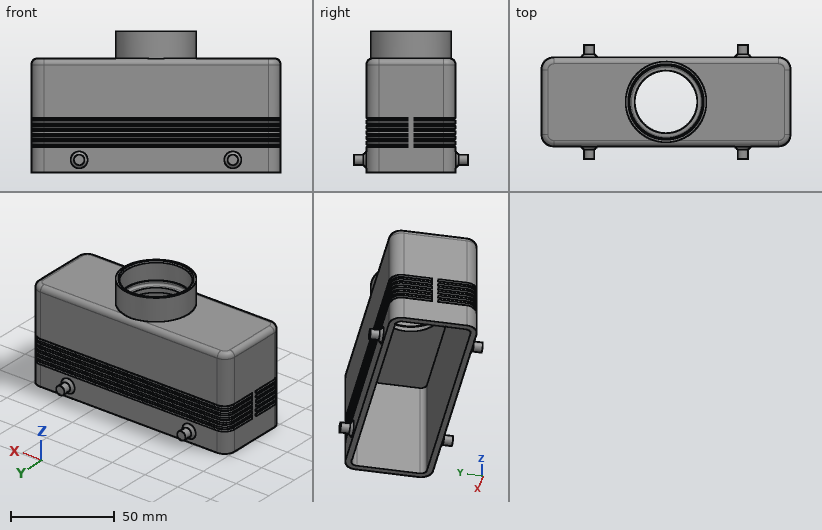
import cadquery as cq
import math

length = 120.0
width = 43.0
body_height = 55.0
corner_radius = 6.0
top_fillet = 3.0
wall = 3.0
roof_thickness = 2.6

collar_radius = 19.5
collar_height = 13.1
bore_radius = 17.5
bore_chamfer = 0.7
relief_radius = 18.0
relief_height = 2.5
relief_fillet = 1.2
opening_radius = 15.0

groove_count = 6
groove_pitch = 2.5
groove_height = 1.5
groove_depth = 0.7
lowest_groove_z = 13.0
groove_gap = 3.0

pin_span = 55.0
pin_radius = 2.5
pin_root = 1.5
pin_x = 37.0
pin_z = 6.1

top_z = body_height + collar_height


def rounded_block(inset, height):
    """Box on the ground plane with the body's footprint shrunk by inset."""
    block = cq.Workplane("XY").box(
        length - 2 * inset,
        width - 2 * inset,
        height,
        centered=(True, True, False),
    )
    return block.edges("|Z").fillet(corner_radius - inset)


def hood_body():
    """Outer block with a rounded roof edge, hollowed from below."""
    outer = rounded_block(0, body_height).faces(">Z").edges().fillet(top_fillet)
    return outer.cut(rounded_block(wall, body_height - roof_thickness))


def collar():
    """Solid collar, its foot buried in the roof so that it meets the rounded edges."""
    foot = cq.Workplane("XY").workplane(offset=body_height - roof_thickness)
    return foot.circle(collar_radius).extrude(roof_thickness + collar_height)


def entry_bore():
    """Revolved cutter: chamfered mouth, bore, filleted relief and roof opening."""
    arc_center_r = relief_radius - relief_fillet
    arc_center_z = body_height + relief_fillet
    arc_offset = relief_fillet * math.sqrt(0.5)
    return (
        cq.Workplane("XZ")
        .moveTo(0, body_height - roof_thickness)
        .lineTo(opening_radius, body_height - roof_thickness)
        .lineTo(opening_radius, body_height)
        .lineTo(arc_center_r, body_height)
        .threePointArc(
            (arc_center_r + arc_offset, arc_center_z - arc_offset),
            (relief_radius, arc_center_z),
        )
        .lineTo(relief_radius, body_height + relief_height)
        .lineTo(bore_radius, body_height + relief_height)
        .lineTo(bore_radius, top_z - bore_chamfer)
        .lineTo(bore_radius + bore_chamfer, top_z)
        .lineTo(0, top_z)
        .close()
        .revolve()
    )


def grip_groove(z):
    """Cutter for one V groove centred at height z, with a gap at both ends of the body."""
    half_height = groove_height / 2
    band = rounded_block(0, groove_height)
    taper = math.degrees(math.atan(groove_depth / half_height))
    lower_core = band.faces("<Z").wires().toPending().extrude(half_height, taper=taper, combine=False)
    upper_core = lower_core.mirror("XY", (0, 0, half_height))
    end_gap = cq.Workplane("XY").box(2 * length, groove_gap, 2 * groove_height)
    groove = band.cut(lower_core).cut(upper_core).cut(end_gap)
    return groove.translate((0, 0, z - half_height))


def pin_pair(x):
    """Two opposite round pins at x, each with a 45 degree cone against its wall."""
    wall_y = width / 2
    root_radius = pin_radius + pin_root
    inner_y = wall_y - wall / 2
    profile = (
        cq.Workplane("XY")
        .moveTo(0, inner_y)
        .lineTo(root_radius, inner_y)
        .lineTo(root_radius, wall_y)
        .lineTo(pin_radius, wall_y + pin_root)
        .lineTo(pin_radius, pin_span / 2)
        .lineTo(0, pin_span / 2)
        .close()
    )
    pin = profile.revolve(360, (0, 0), (0, 1)).translate((x, 0, pin_z))
    return pin.union(pin.mirror("XZ"))


result = hood_body().union(collar()).cut(entry_bore())
for i in range(groove_count):
    result = result.cut(grip_groove(lowest_groove_z + i * groove_pitch))
for x in (-pin_x, pin_x):
    result = result.union(pin_pair(x))